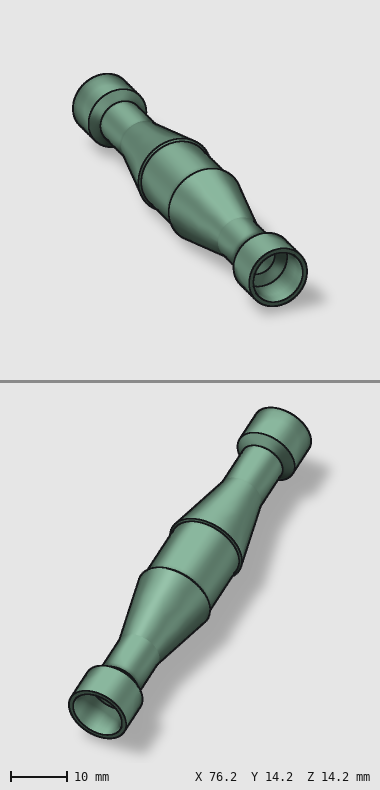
import cadquery as cq

total_length = 76.2
socket_length = 6.8
shoulder_length = 1.6
neck_length = 8.7
barrel_length = 12.65
lip_bevel_length = 0.2

socket_outer_radius = 5.65
socket_inner_radius = 4.8
neck_radius = 4.05
bore_radius = 3.1
lip_radius = 7.1
barrel_radius = 6.6

half_length = total_length / 2
shoulder_end = socket_length + shoulder_length
neck_end = shoulder_end + neck_length
barrel_start = half_length - barrel_length / 2
lip_position = barrel_start - lip_bevel_length


def revolve_symmetric(half_profile):
    """Revolve a solid about X from the outline of its X <= 0 half, mirrored to X >= 0."""
    mirrored_half = [(-x, radius) for x, radius in reversed(half_profile)]
    outline = [(-half_length, 0)] + half_profile + mirrored_half + [(half_length, 0)]
    return cq.Workplane("XY").polyline(outline).close().revolve(360, (0, 0, 0), (1, 0, 0))


body = revolve_symmetric([
    (-half_length, socket_outer_radius),
    (socket_length - half_length, socket_outer_radius),
    (shoulder_end - half_length, neck_radius),
    (neck_end - half_length, neck_radius),
    (lip_position - half_length, lip_radius),
    (barrel_start - half_length, barrel_radius),
])

passage = revolve_symmetric([
    (-half_length, socket_inner_radius),
    (socket_length - half_length, socket_inner_radius),
    (shoulder_end - half_length, bore_radius),
])

result = body.cut(passage)